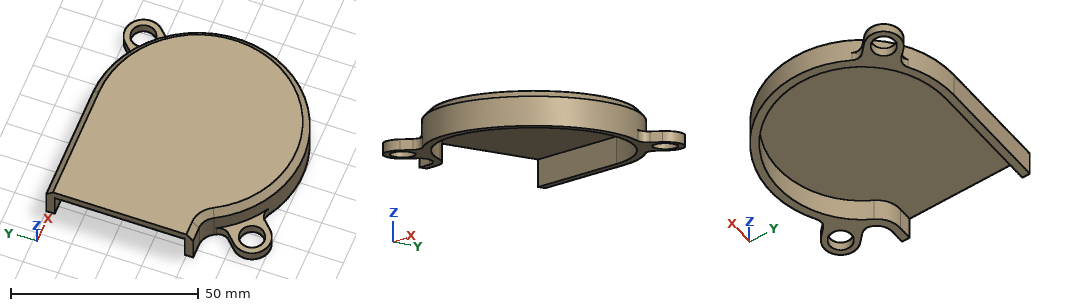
import cadquery as cq
import math

LENGTH = 65.3
HEIGHT = 10.0
BODY_RADIUS = 30.0
MOUTH_WIDTH = 42.0
NECK_RADIUS = 5.0
WALL = 2.5
CHAMFER = 1.95

LUG_OFFSET = 25.0
LUG_RADIUS = 10.65 / 2
LUG_HOLE_DIAMETER = 7.0
LUG_THICKNESS = 3.0
LUG_FILLET = 3.0
LUG_ANGLES = (45, 225)

MOUTH_X = LUG_OFFSET + LUG_RADIUS - LENGTH


def housing_profile(inset, height):
    """Solid with the housing outline, moved inward by inset except at the open end."""
    radius = BODY_RADIUS - inset
    neck_radius = NECK_RADIUS + inset
    lower_y = BODY_RADIUS - MOUTH_WIDTH + inset

    neck_y = lower_y - neck_radius
    neck_x = -math.sqrt((radius + neck_radius) ** 2 - neck_y ** 2)
    join_angle = math.atan2(neck_y, neck_x)
    join = (radius * math.cos(join_angle), radius * math.sin(join_angle))
    middle_angle = (math.pi / 2 + join_angle + math.pi) / 2
    neck_middle = (
        neck_x + neck_radius * math.cos(middle_angle),
        neck_y + neck_radius * math.sin(middle_angle),
    )
    return (
        cq.Workplane("XY")
        .moveTo(MOUTH_X, radius)
        .lineTo(0, radius)
        .threePointArc((radius, 0), join)
        .threePointArc(neck_middle, (neck_x, lower_y))
        .lineTo(MOUTH_X, lower_y)
        .close()
        .extrude(height)
    )


def lug(angle):
    """Eyelet with parallel sides, blended into the large round."""
    reach = math.hypot(LUG_OFFSET, LUG_OFFSET)
    fillet_y = LUG_RADIUS + LUG_FILLET
    fillet_x = math.sqrt((BODY_RADIUS + LUG_FILLET) ** 2 - fillet_y ** 2)
    shrink = BODY_RADIUS / (BODY_RADIUS + LUG_FILLET)
    foot_x = fillet_x * shrink
    foot_y = fillet_y * shrink
    return (
        cq.Workplane("XY")
        .moveTo(foot_x, -foot_y)
        .radiusArc((fillet_x, -LUG_RADIUS), LUG_FILLET)
        .lineTo(reach, -LUG_RADIUS)
        .threePointArc((reach + LUG_RADIUS, 0), (reach, LUG_RADIUS))
        .lineTo(fillet_x, LUG_RADIUS)
        .radiusArc((foot_x, foot_y), LUG_FILLET)
        .close()
        .extrude(LUG_THICKNESS)
        .cut(
            cq.Workplane("XY")
            .center(reach, 0)
            .circle(LUG_HOLE_DIAMETER / 2)
            .extrude(LUG_THICKNESS)
        )
        .rotate((0, 0, 0), (0, 0, 1), angle)
    )


result = housing_profile(0, HEIGHT).faces(">Z").edges("not <X").chamfer(CHAMFER)

for lug_angle in LUG_ANGLES:
    result = result.union(lug(lug_angle))

result = result.cut(housing_profile(WALL, HEIGHT - WALL))